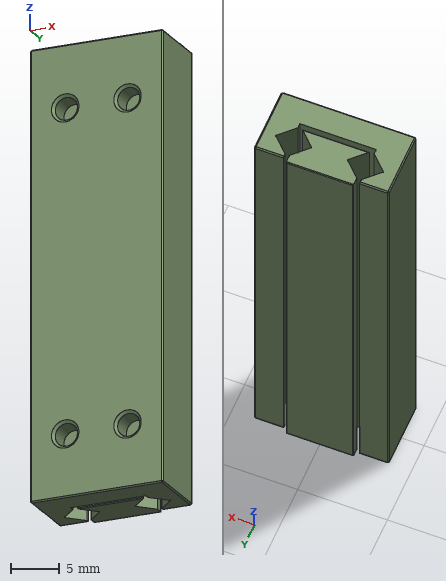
import cadquery as cq

length = 50.0
base_width = 15.0
base_height = 7.5
rail_rise = 0.5

groove_center_x = 4.0
groove_center_y = 5.3
groove_reach = 2.0
side_gap = 0.5
channel_floor = 3.0

hole_diameter = 2.5
hole_mouth_diameter = 3.1
hole_depth = 2.5
hole_spacing_x = 7.05
hole_spacing_z = 36.0

base_chamfer = 0.15
rail_chamfer = 0.1

rail_top = base_height + rail_rise
rail_half_width = groove_center_x - side_gap / 2
channel_half_width = groove_center_x + side_gap / 2
base_apex_x = groove_center_x + groove_reach
rail_apex_x = groove_center_x - groove_reach
flank_height = groove_reach - side_gap / 2
flank_top = groove_center_y + flank_height
flank_bottom = groove_center_y - flank_height
mouth_chamfer = (hole_mouth_diameter - hole_diameter) / 2


def extrude_symmetric(right_half):
    """Extrude along Z an outline given by its right half, mirrored about X = 0."""
    left_half = [(-x, y) for x, y in reversed(right_half)]
    return cq.Workplane("XY").polyline(right_half + left_half).close().extrude(length)


def make_hole_cutter(x, z):
    """Blind hole with a chamfered mouth, sunk along +Y from the mounting face."""
    half_profile = [
        (0, 0),
        (hole_mouth_diameter / 2, 0),
        (hole_diameter / 2, mouth_chamfer),
        (hole_diameter / 2, hole_depth),
        (0, hole_depth),
    ]
    cutter = cq.Workplane("XY").polyline(half_profile).close().revolve(360, (0, 0), (0, 1))
    return cutter.translate((x, 0, z))


def make_base():
    """U-shaped base with a V groove in each inner wall and four mounting holes."""
    base = (
        cq.Workplane("XY")
        .box(base_width, base_height, length, centered=(True, False, False))
        .edges()
        .chamfer(base_chamfer)
    )
    channel = extrude_symmetric([
        (channel_half_width, channel_floor),
        (channel_half_width, flank_bottom),
        (base_apex_x, groove_center_y),
        (channel_half_width, flank_top),
        (channel_half_width, base_height),
    ])
    base = base.cut(channel)
    for side_x in (-1, 1):
        for side_z in (-1, 1):
            hole_x = side_x * hole_spacing_x / 2
            hole_z = length / 2 + side_z * hole_spacing_z / 2
            base = base.cut(make_hole_cutter(hole_x, hole_z))
    return base


def make_rail():
    """Rail with a V groove in each side, floating in the channel of the base."""
    rail = extrude_symmetric([
        (rail_half_width, flank_bottom),
        (rail_apex_x, groove_center_y),
        (rail_half_width, flank_top),
        (rail_half_width, rail_top),
    ])
    rail = rail.faces("<Y").edges("|X").chamfer(rail_chamfer)
    return rail.faces(">Y").edges().chamfer(rail_chamfer)


base = make_base()
rail = make_rail()

result = cq.Compound.makeCompound([base.val(), rail.val()])